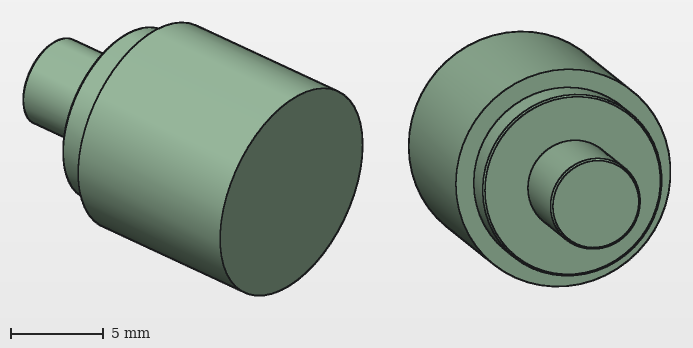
import cadquery as cq

total_length = 16.9
pin_length = 4.9
sleeve_length = 10.0
collar_length = total_length - pin_length - sleeve_length

pin_diameter = 5.0
collar_diameter = 2 * pin_diameter
sleeve_diameter = 12.0

edge_chamfer = 0.1

pin_start = -total_length / 2
collar_start = pin_start + pin_length
sleeve_start = collar_start + collar_length


def cylinder(start, diameter, length):
    """A round bar on the X axis that runs toward +X from start."""
    return cq.Workplane("YZ", origin=(start, 0, 0)).circle(diameter / 2).extrude(length)


def make_pin():
    """Plain pin that butts against the collar, with a chamfered free end."""
    return cylinder(pin_start, pin_diameter, pin_length).faces("<X").chamfer(edge_chamfer)


def make_housing():
    """Large sleeve with a smaller collar whose outer edge is chamfered."""
    collar = cylinder(collar_start, collar_diameter, collar_length).faces("<X").chamfer(edge_chamfer)
    sleeve = cylinder(sleeve_start, sleeve_diameter, sleeve_length)
    return collar.union(sleeve)


pin = make_pin()
housing = make_housing()

result = cq.Compound.makeCompound([pin.val(), housing.val()])